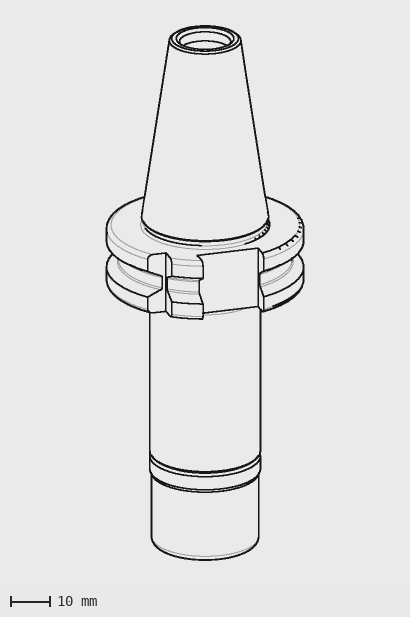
import cadquery as cq
import math

total_height = 137.8
flange_top = 86.8
flange_height = 16.0
flange_bottom = flange_top - flange_height

taper_ratio = 7 / 24
taper_base_radius = 16.1
taper_base_height = 89.0
taper_length = total_height - taper_base_height
taper_end_radius = taper_base_radius - taper_length * taper_ratio / 2
taper_end_chamfer = 0.5
relief_depth = 0.4
relief_fillet = 0.7
undercut_radius = taper_base_radius - relief_depth

flange_radius = 50.0 / 2
flange_fillet = 1.1
groove_root_radius = 22.0
groove_root_width = 3.5
groove_mouth_width = 7.0
groove_root_fillet = 0.5

slot_width = 16.1
near_slot_floor = 16.4
far_slot_floor = 19.0
notch_x = 15.0
notch_y = 15.2

shank_radius = 14.0
shank_fillet = 2.9
shank_bottom = 24.5
shank_chamfer = 0.4

neck_radius = 12.7
ring_top = 24.0
ring_bottom = 19.5
ring_radius = shank_radius
ring_chamfer = 0.4
nut_radius = 13.6
nut_edge_fillet = 1.7

bore_radius = 5.1
counterbore_radius = 6.5
counterbore_depth = 3.3
counterbore_chamfer = 0.8
bore_groove_height = 2.3
bore_groove_depth = 0.3
seat_height = 1.4


def revolve_profile(profile):
    """Solid of revolution about Z from a closed half profile in the XZ plane."""
    return profile.revolve(360, (0, 0, 0), (0, 1, 0))


def revolve_points(points):
    """Solid of revolution about Z from (radius, height) corner points."""
    return revolve_profile(cq.Workplane("XZ").polyline(points).close())


def make_taper():
    chamfer_base_radius = taper_end_radius + taper_end_chamfer * taper_ratio / 2
    foot_radius = undercut_radius + relief_fillet
    fillet_end_height = flange_top + relief_fillet
    fillet_inset = relief_fillet * (1 - math.sin(math.pi / 4))
    profile = (
        cq.Workplane("XZ")
        .moveTo(0, flange_top)
        .lineTo(foot_radius, flange_top)
        .threePointArc(
            (undercut_radius + fillet_inset, flange_top + fillet_inset),
            (undercut_radius, fillet_end_height),
        )
        .lineTo(undercut_radius, taper_base_height - relief_depth)
        .lineTo(taper_base_radius, taper_base_height)
        .lineTo(chamfer_base_radius, total_height - taper_end_chamfer)
        .lineTo(taper_end_radius - taper_end_chamfer, total_height)
        .lineTo(0, total_height)
        .close()
    )
    return revolve_profile(profile)


def make_flange():
    middle = flange_bottom + flange_height / 2
    flange = revolve_points([
        (0, flange_bottom),
        (flange_radius, flange_bottom),
        (flange_radius, middle - groove_mouth_width / 2),
        (groove_root_radius, middle - groove_root_width / 2),
        (groove_root_radius, middle + groove_root_width / 2),
        (flange_radius, middle + groove_mouth_width / 2),
        (flange_radius, flange_top),
        (0, flange_top),
    ])
    root_corners = flange.edges(cq.selectors.RadiusNthSelector(0))
    flange = root_corners.fillet(groove_root_fillet)
    return flange.faces("<Z or >Z").edges().fillet(flange_fillet)


def flange_cutter(x, y, width):
    """Box with its low corner at (x, y), through the flange height."""
    box = cq.Workplane("XY").box(flange_radius, width, flange_height + shank_fillet, centered=False)
    return box.translate((x, y, flange_bottom - shank_fillet))


def make_flange_cuts():
    near_slot = flange_cutter(-near_slot_floor - flange_radius, -slot_width / 2, slot_width)
    far_slot = flange_cutter(far_slot_floor, -slot_width / 2, slot_width)
    notch = flange_cutter(notch_x, -notch_y - flange_radius, flange_radius)
    return near_slot.union(far_slot).union(notch)


def make_shank():
    fillet_start = flange_bottom - shank_fillet
    fillet_rise = shank_fillet * math.sin(math.pi / 4)
    fillet_middle = (
        shank_radius + shank_fillet - fillet_rise,
        fillet_start + fillet_rise,
    )
    profile = (
        cq.Workplane("XZ")
        .moveTo(0, shank_bottom)
        .lineTo(shank_radius - shank_chamfer, shank_bottom)
        .lineTo(shank_radius, shank_bottom + shank_chamfer)
        .lineTo(shank_radius, fillet_start)
        .threePointArc(fillet_middle, (shank_radius + shank_fillet, flange_bottom))
        .lineTo(0, flange_bottom)
        .close()
    )
    return revolve_profile(profile)


def make_nut():
    nut = revolve_points([
        (0, 0),
        (nut_radius, 0),
        (nut_radius, ring_bottom - ring_chamfer),
        (ring_radius, ring_bottom + ring_chamfer),
        (ring_radius, ring_top - ring_chamfer),
        (neck_radius, ring_top),
        (neck_radius, shank_bottom),
        (0, shank_bottom),
    ])
    return nut.faces("<Z").edges().fillet(nut_edge_fillet)


def make_bore():
    groove_top = total_height - counterbore_depth
    groove_bottom = groove_top - bore_groove_height
    groove_middle = (counterbore_radius + bore_groove_depth, (groove_top + groove_bottom) / 2)
    profile = (
        cq.Workplane("XZ")
        .lineTo(bore_radius, 0)
        .lineTo(bore_radius, groove_bottom - seat_height)
        .lineTo(counterbore_radius, groove_bottom)
        .threePointArc(groove_middle, (counterbore_radius, groove_top))
        .lineTo(counterbore_radius, total_height - counterbore_chamfer)
        .lineTo(counterbore_radius + counterbore_chamfer, total_height)
        .lineTo(0, total_height)
        .close()
    )
    return revolve_profile(profile)


body = make_nut().union(make_shank()).union(make_flange()).union(make_taper())
result = body.cut(make_flange_cuts()).cut(make_bore())